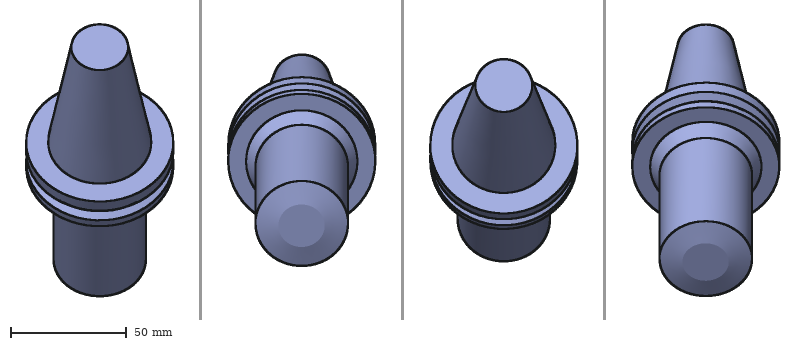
import cadquery as cq
import math


gauge_radius = 44.45 / 2
taper_length = 68.25
taper_ratio = 7 / 24
taper_end_radius = gauge_radius - taper_length * taper_ratio / 2

flange_radius = 63.5 / 2
flange_top = -1.0
flange_bottom = -19.05
groove_radius = 56.36 / 2
groove_center = -11.25
groove_floor_width = 3.5
groove_mouth_width = 7.0

body_radius = 40 / 2
collar_radius = 48.0 / 2
collar_height = 6.35
body_bottom = -88.9
nose_radius = 20 / 2
nose_angle = 15
nose_height = (body_radius - nose_radius) * math.tan(math.radians(nose_angle))


def shank_profile():
    """Conical shank with a short straight neck below the gauge plane."""
    return [
        (0, taper_length),
        (taper_end_radius, taper_length),
        (gauge_radius, 0),
        (gauge_radius, flange_top),
    ]


def flange_profile():
    """Flange rim with a flat-floored V groove around it."""
    half_mouth = groove_mouth_width / 2
    half_floor = groove_floor_width / 2
    return [
        (flange_radius, flange_top),
        (flange_radius, groove_center + half_mouth),
        (groove_radius, groove_center + half_floor),
        (groove_radius, groove_center - half_floor),
        (flange_radius, groove_center - half_mouth),
        (flange_radius, flange_bottom),
    ]


def body_profile():
    """Tapered collar, straight body and blunt conical nose."""
    return [
        (collar_radius, flange_bottom),
        (body_radius, flange_bottom - collar_height),
        (body_radius, body_bottom + nose_height),
        (nose_radius, body_bottom),
        (0, body_bottom),
    ]


outline = shank_profile() + flange_profile() + body_profile()
profile = cq.Workplane("XZ").polyline(outline).close()
result = profile.revolve(360, (0, 0, 0), (0, 1, 0))